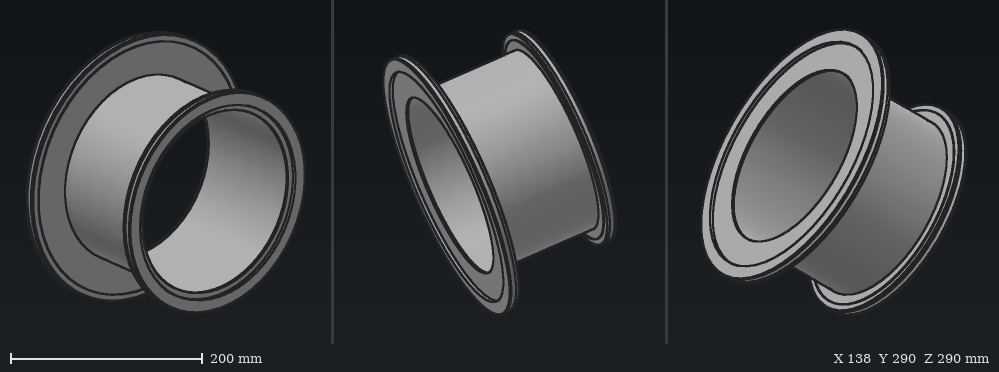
import cadquery as cq

TOTAL_LENGTH = 138.0
FLANGE_THICKNESS = 12.0
LARGE_FLANGE_DIAMETER = 290.0
SMALL_FLANGE_DIAMETER = 239.8
LARGE_RECESS_DIAMETER = 261.0
SMALL_RECESS_DIAMETER = 213.0
RECESS_DEPTH = 4.0

TUBE_OUTER_DIAMETER = 204.0
TUBE_INNER_DIAMETER = 199.5

LIP_THICKNESS = 2.3
TUBE_START = RECESS_DEPTH + LIP_THICKNESS

OUTER_LAND = 2.0
GROOVE_WIDTH = 5.5
GROOVE_DEPTH = 2.3
EDGE_CHAMFER = 0.3

HUB_HEIGHT = 1.0
HUB_MARGIN = 7.0


def make_flange(diameter, recess_diameter):
    """Flange with its outer face at X = 0 and its body toward +X."""
    radius = diameter / 2
    bore_radius = TUBE_INNER_DIAMETER / 2
    socket_radius = TUBE_OUTER_DIAMETER / 2
    recess_radius = recess_diameter / 2
    hub_radius = radius - HUB_MARGIN
    rim_back = FLANGE_THICKNESS - HUB_HEIGHT
    groove_end = OUTER_LAND + GROOVE_WIDTH
    groove_bottom = (OUTER_LAND + GROOVE_WIDTH / 2, radius - GROOVE_DEPTH)
    profile = (
        cq.Workplane("XY")
        .moveTo(RECESS_DEPTH, bore_radius)
        .lineTo(RECESS_DEPTH, recess_radius)
        .lineTo(0, recess_radius)
        .lineTo(0, radius - EDGE_CHAMFER)
        .lineTo(EDGE_CHAMFER, radius)
        .lineTo(OUTER_LAND, radius)
        .threePointArc(groove_bottom, (groove_end, radius))
        .lineTo(rim_back - EDGE_CHAMFER, radius)
        .lineTo(rim_back, radius - EDGE_CHAMFER)
        .lineTo(rim_back, hub_radius)
        .lineTo(FLANGE_THICKNESS, hub_radius)
        .lineTo(FLANGE_THICKNESS, socket_radius)
        .lineTo(TUBE_START, socket_radius)
        .lineTo(TUBE_START, bore_radius)
        .close()
    )
    return profile.revolve(360, (0, 0, 0), (1, 0, 0))


def make_tube():
    """Tube whose ends sit in the flange sockets, against the lips."""
    return (
        cq.Workplane("YZ", origin=(TUBE_START, 0, 0))
        .circle(TUBE_OUTER_DIAMETER / 2)
        .circle(TUBE_INNER_DIAMETER / 2)
        .extrude(TOTAL_LENGTH - 2 * TUBE_START)
    )


large_flange = make_flange(LARGE_FLANGE_DIAMETER, LARGE_RECESS_DIAMETER)

small_flange = (
    make_flange(SMALL_FLANGE_DIAMETER, SMALL_RECESS_DIAMETER)
    .rotate((0, 0, 0), (0, 0, 1), 180)
    .translate((TOTAL_LENGTH, 0, 0))
)

tube = make_tube()

result = cq.Compound.makeCompound([large_flange.val(), small_flange.val(), tube.val()])